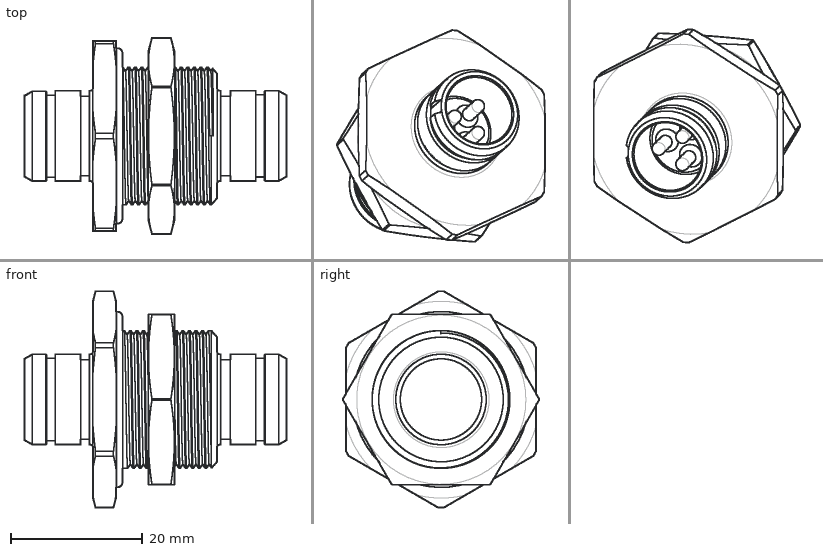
import cadquery as cq
import math


total_length = 40.0
bore_radius = 5.35
bore_depth = 9.0
bore_mouth_chamfer = 0.2

tip_radius = 6.2
plug_radius = 6.9
tip_chamfer_length = 1.25
ring_end = 3.45
ring_edge_chamfer = 0.2
groove_end = 4.7
groove_radius = 6.3
barrel_end = 8.57
neck_radius = 6.08
collar_length = 0.55
collar_cove_radius = 0.4

key_slot_width = 2.0
key_slot_floor = 6.2

hex_chamfer_angle = math.radians(15)
flange_start = 10.45
flange_thickness = 3.55
flange_across_flats = 29.0
flange_corner_diameter = 33.0
flange_face_diameter = 30.0
nut_start = 18.9
nut_thickness = 4.0
nut_across_flats = 26.0
nut_corner_diameter = 29.9
nut_face_diameter = 25.8

shoulder_start = flange_start + flange_thickness
shoulder_radius = 13.4
shoulder_thickness = 0.98
shoulder_fillet = 0.8

thread_start = shoulder_start + shoulder_thickness
thread_end = 29.4
thread_radius = 10.5
thread_pitch = 1.0
thread_depth = 0.6
thread_crest_width = 0.15
thread_end_chamfer_length = 0.9
thread_end_chamfer_depth = 1.0
groove_helix_start = 15.17
groove_turns = 13.5

insert_face_radius = 4.86
insert_bevel_length = 0.5
contact_count = 3
contact_circle_radius = 2.5
contact_radius = 1.0
contact_base_radius = 1.78
contact_base_length = 0.8
contact_ball_center = 4.1


def cylinder(start, length, radius):
    """Round bar along X."""
    return cq.Workplane("YZ", origin=(start, 0, 0)).circle(radius).extrude(length)


def revolve_about_x(profile):
    return profile.close().revolve(360, (0, 0, 0), (1, 0, 0))


def plug_end(length):
    """Stepped plug, neck and coved collar from the tip at X = 0 to the face the collar stands on."""
    neck_end = length - collar_length
    profile = (
        cq.Workplane("XY")
        .lineTo(0, tip_radius)
        .lineTo(tip_chamfer_length, plug_radius)
        .lineTo(ring_end - ring_edge_chamfer, plug_radius)
        .lineTo(ring_end, plug_radius - ring_edge_chamfer)
        .lineTo(ring_end, groove_radius)
        .lineTo(groove_end, groove_radius)
        .lineTo(groove_end, plug_radius)
        .lineTo(barrel_end, plug_radius)
        .lineTo(barrel_end, neck_radius)
        .lineTo(neck_end, neck_radius)
        .lineTo(neck_end, plug_radius)
        .lineTo(length - collar_cove_radius, plug_radius)
        .radiusArc((length, plug_radius + collar_cove_radius), -collar_cove_radius)
        .lineTo(length, 0)
    )
    return revolve_about_x(profile)


def chamfered_hexagon(start, thickness, across_flats, corner_diameter, face_diameter, corner_angle):
    """Hexagon with turned corners and a conical chamfer on both faces."""
    hexagon = (
        cq.Workplane("YZ", origin=(start, 0, 0))
        .polygon(6, across_flats / math.cos(math.pi / 6))
        .extrude(thickness)
        .rotate((0, 0, 0), (1, 0, 0), corner_angle)
    )
    corner_radius = corner_diameter / 2
    face_radius = face_diameter / 2
    chamfer_length = (corner_radius - face_radius) * math.tan(hex_chamfer_angle)
    end = start + thickness
    turned_blank = revolve_about_x(
        cq.Workplane("XY")
        .moveTo(start, 0)
        .lineTo(start, face_radius)
        .lineTo(start + chamfer_length, corner_radius)
        .lineTo(end - chamfer_length, corner_radius)
        .lineTo(end, face_radius)
        .lineTo(end, 0)
    )
    return hexagon.intersect(turned_blank)


def threaded_barrel():
    """Cylinder with a right-hand V groove wound around it and a chamfered far end."""
    blank = revolve_about_x(
        cq.Workplane("XY")
        .moveTo(thread_start, 0)
        .lineTo(thread_start, thread_radius)
        .lineTo(thread_end - thread_end_chamfer_length, thread_radius)
        .lineTo(thread_end, thread_radius - thread_end_chamfer_depth)
        .lineTo(thread_end, 0)
    )
    clearance = 0.05
    half_width = (thread_pitch - thread_crest_width) / 2
    mouth_half_width = half_width * (1 + clearance / thread_depth)
    helix = cq.Wire.makeHelix(thread_pitch, groove_turns * thread_pitch, thread_radius)
    groove = (
        cq.Workplane("XZ")
        .moveTo(thread_radius - thread_depth, 0)
        .lineTo(thread_radius + clearance, mouth_half_width)
        .lineTo(thread_radius + clearance, -mouth_half_width)
        .close()
        .sweep(cq.Workplane(obj=helix), isFrenet=True)
        .rotate((0, 0, 0), (0, 1, 0), 90)
        .translate((groove_helix_start, 0, 0))
    )
    return blank.cut(groove)


def bore():
    """Plug socket with a chamfered mouth and a bevelled insert face at its bottom."""
    profile = (
        cq.Workplane("XY")
        .lineTo(0, bore_radius + bore_mouth_chamfer)
        .lineTo(bore_mouth_chamfer, bore_radius)
        .lineTo(bore_depth + insert_bevel_length, bore_radius)
        .lineTo(bore_depth, insert_face_radius)
        .lineTo(bore_depth, 0)
    )
    return revolve_about_x(profile)


def contact_pin():
    """Round-nosed pin on the X axis with a conical base on the insert face."""
    base_start = bore_depth - contact_base_length
    profile = (
        cq.Workplane("XY")
        .moveTo(contact_ball_center - contact_radius, 0)
        .radiusArc((contact_ball_center, contact_radius), contact_radius)
        .lineTo(base_start, contact_radius)
        .lineTo(bore_depth, contact_base_radius)
        .lineTo(bore_depth + insert_bevel_length, contact_base_radius)
        .lineTo(bore_depth + insert_bevel_length, 0)
    )
    return revolve_about_x(profile)


def connector_body():
    left_plug = plug_end(flange_start)
    right_plug = plug_end(total_length - thread_end).mirror("YZ").translate((total_length, 0, 0))
    flange = chamfered_hexagon(
        flange_start, flange_thickness, flange_across_flats,
        flange_corner_diameter, flange_face_diameter, 90,
    )
    shoulder = cylinder(shoulder_start, shoulder_thickness, shoulder_radius)
    shoulder = shoulder.faces(">X").edges().fillet(shoulder_fillet)
    body = left_plug.union(flange).union(shoulder).union(threaded_barrel()).union(right_plug)

    key_slot_height = plug_radius - key_slot_floor
    key_slot = cq.Workplane("XY").box(
        groove_end, 2 * key_slot_height, key_slot_width, centered=(False, False, True)
    )
    body = body.cut(key_slot.translate((0, key_slot_floor, 0))).cut(bore())

    pin = contact_pin().translate((0, contact_circle_radius, 0))
    for index in range(contact_count):
        body = body.union(pin.rotate((0, 0, 0), (1, 0, 0), index * 360 / contact_count))
    return body


def panel_nut(body):
    """Hexagon nut whose internal thread mates with the body thread."""
    blank = chamfered_hexagon(
        nut_start, nut_thickness, nut_across_flats,
        nut_corner_diameter, nut_face_diameter, 0,
    )
    return blank.cut(body)


connector = connector_body()
nut = panel_nut(connector)

result = cq.Compound.makeCompound([connector.solids().val(), nut.solids().val()])